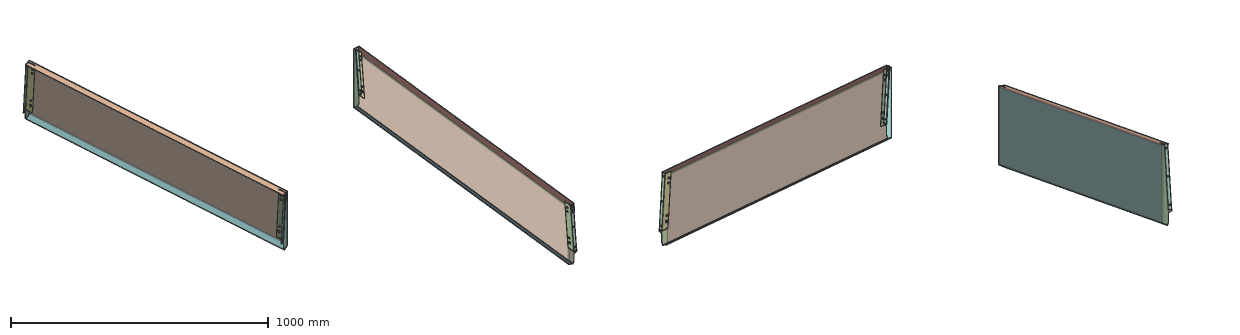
import cadquery as cq
import math

overall_width = 1212.0
tray_left = -overall_width / 2
tray_width = 1210.0
tray_right = tray_left + tray_width
tray_middle = (tray_left + tray_right) / 2
overall_depth = 45.0
back_y = overall_depth / 2
top_z = 162.0
flange_depth = 29.0
flange_y = back_y - flange_depth
wall_depth = 30.0
wall_y = back_y - wall_depth
sheet = 1.0
bend_radius = 4.0
inner_bend_radius = bend_radius - sheet

lip_start_z = -150.0
lip_drop = 12.0
lip_angle = 27
lip_slope = math.tan(math.radians(lip_angle))
lip_rise = sheet / math.cos(math.radians(lip_angle))
tip_z = lip_start_z - lip_drop
tip_y = back_y - lip_drop / lip_slope
wall_toe_z = tip_z + (tip_y - wall_y) / lip_slope

height_per_step = 15
slope_top_y = 11.3

ear_tip_y = back_y - overall_depth
ear_root_z = -102.0
ear_top_z = -99.0
ear_bottom_z = -107.0
ear_foot_z = -112.0

bracket_left = tray_left + sheet
leg_depth = 16.0
plate_width = 33.0
bracket_top_z = top_z - sheet
bracket_bottom_z = -100.0
bracket_middle_z = (bracket_top_z + bracket_bottom_z) / 2
bracket_bend_radius = 2.0
plate_corner_radius = 6.0
hole_diameter = 8.0
hole_inset = 22.0
hole_heights = [133.0, 112.0, -39.0]
slot_height = 12.0
slot_z = -65.0
collar_diameter = 6.0
collar_bore = 4.0
collar_length = 2.0
collar_offset = 10.0
collar_heights = [145.0, 32.0, -82.0]

tongue_inset = 5.0
tongue_width = 25.0

stop_overhang = overall_width - tray_width
stop_height = 46.0
stop_depth = 10.0


def slope_y(z):
    """Y of the sloped line at height z."""
    return slope_top_y - (top_z - z) / height_per_step


def side_profile(points, x, width):
    """Prism along +X from a YZ outline."""
    return cq.Workplane("YZ", origin=(x, 0, 0)).polyline(points).close().extrude(width)


def sloped_band(back_offset, front_offset, bottom_z, upper_z, x, width):
    """Prism between two lines parallel to the sloped line, offsets measured forward."""
    points = [
        (slope_y(upper_z) - back_offset, upper_z),
        (slope_y(bottom_z) - back_offset, bottom_z),
        (slope_y(bottom_z) - front_offset, bottom_z),
        (slope_y(upper_z) - front_offset, upper_z),
    ]
    return side_profile(points, x, width)


def mirrored(body):
    """Copy of a left-hand body on the right side of the tray."""
    return body.mirror("YZ", (tray_middle, 0, 0))


def make_wall(x):
    """Side wall with its sloped upper edge, ear and lower end square to the lip."""
    points = [
        (back_y, top_z),
        (back_y, lip_start_z),
        (tip_y, tip_z),
        (wall_y, wall_toe_z),
        (wall_y, ear_foot_z),
        (ear_tip_y, ear_bottom_z),
        (ear_tip_y, ear_top_z),
        (slope_y(ear_root_z), ear_root_z),
        (slope_y(top_z), top_z),
    ]
    return side_profile(points, x, sheet)


def make_tongue():
    """Tongue of the left bracket, the same shape as its slot in the top flange."""
    return sloped_band(0, sheet, bracket_top_z, top_z, bracket_left + tongue_inset, tongue_width)


def make_tray():
    """Pan with bent rear edges, two side walls and a slot in the top flange for each tongue."""
    inner_back_y = back_y - sheet
    outer = [
        (back_y, top_z),
        (back_y, lip_start_z),
        (tip_y, tip_z),
        (tip_y, tip_z + lip_rise),
        (flange_y, top_z - sheet),
        (flange_y, top_z),
    ]
    inner = [
        (inner_back_y, top_z - sheet),
        (inner_back_y, lip_start_z + lip_rise - sheet * lip_slope),
        (tip_y, tip_z + lip_rise),
        (ear_tip_y, tip_z + lip_rise),
        (ear_tip_y, top_z - sheet),
    ]
    tray = side_profile(outer, tray_left + sheet, tray_width - 2 * sheet)
    tray = tray.union(make_wall(tray_left)).union(make_wall(tray_right - sheet))
    tray = tray.faces(">Y").edges().fillet(bend_radius)
    cavity = side_profile(inner, tray_left + sheet, tray_width - 2 * sheet)
    cavity = cavity.faces(">Y").edges().fillet(inner_bend_radius)
    tongue = make_tongue()
    return tray.cut(cavity).cut(tongue).cut(mirrored(tongue))


def plate_cutters():
    """Round holes and the upright slot that pierce the face plate, as prisms along Y."""
    x = bracket_left + hole_inset
    front = cq.Workplane("XZ", origin=(0, ear_tip_y, 0))
    reach = -(back_y - sheet - ear_tip_y)
    holes = front.pushPoints([(x, z) for z in hole_heights]).circle(hole_diameter / 2).extrude(reach)
    slot = front.center(x, slot_z).slot2D(slot_height, hole_diameter, 90).extrude(reach)
    return holes.union(slot)


def leg_cylinders(diameter, length):
    """Cylinders along X from the outer face of the leg, at the collar positions."""
    cylinders = cq.Workplane("YZ", origin=(bracket_left, 0, 0))
    centres = [(slope_y(z) - collar_offset, z) for z in collar_heights]
    return cylinders.pushPoints(centres).circle(diameter / 2).extrude(length)


def make_bracket(on_right):
    """Bent L-profile with collars on the leg and a tongue on top; the right one also has a stop."""
    bend_point = (bracket_left, slope_y(bracket_middle_z), bracket_middle_z)
    blank = sloped_band(0, leg_depth, bracket_bottom_z, bracket_top_z, bracket_left, plate_width)
    blank = blank.edges(cq.NearestToPointSelector(bend_point)).fillet(bracket_bend_radius)

    hollow_width = plate_width - sheet
    hollow_point = (bracket_left + sheet, slope_y(bracket_middle_z) - sheet, bracket_middle_z)
    hollow = sloped_band(
        sheet, leg_depth, bracket_bottom_z, bracket_top_z, bracket_left + sheet, hollow_width
    )
    hollow = hollow.edges(cq.NearestToPointSelector(hollow_point)).fillet(bracket_bend_radius - sheet)

    bracket = blank.cut(hollow)
    corner_point = (
        bracket_left + plate_width,
        slope_y(bracket_bottom_z) - sheet / 2,
        bracket_bottom_z,
    )
    bracket = bracket.edges(cq.NearestToPointSelector(corner_point)).fillet(plate_corner_radius)
    bracket = bracket.union(make_tongue()).cut(plate_cutters())

    collars = leg_cylinders(collar_diameter, sheet + collar_length)
    bores = leg_cylinders(collar_bore, sheet + collar_length)
    bracket = bracket.union(collars).cut(bores)
    if on_right:
        bracket = mirrored(bracket).union(make_stop())
    return bracket


def make_stop():
    """Flat stop on the outer side of the right leg, at its top."""
    return sloped_band(
        leg_depth - stop_depth,
        leg_depth,
        bracket_top_z - stop_height,
        bracket_top_z,
        tray_right - sheet,
        sheet + stop_overhang,
    )


tray = make_tray()
brackets = [make_bracket(on_right) for on_right in (False, True)]

result = cq.Compound.makeCompound([tray.val(), *[bracket.val() for bracket in brackets]])